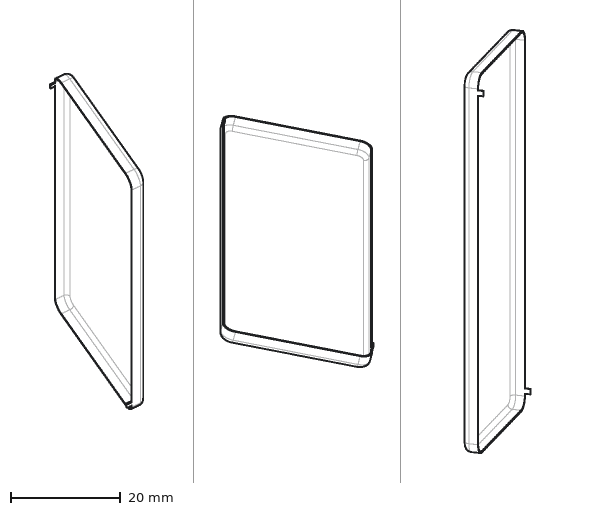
import cadquery as cq

width = 28.1
height = 73.7
total_depth = 3.9
tab_length = 1.0
rim_depth = total_depth - tab_length

wall = 0.3
corner_radius = 2.35
back_edge_radius = 1.1

tab_height = 1.0
tab_end_gap = 2.7
tab_root = 0.4

back_y = total_depth / 2
rim_y = back_y - rim_depth


def rounded_block(inset):
    """Block with rounded corners and back edge, inset from the outer faces."""
    return (
        cq.Workplane("XZ", origin=(0, back_y - inset, 0))
        .rect(width - 2 * inset, height - 2 * inset)
        .extrude(rim_depth - inset)
        .edges("|Y")
        .fillet(corner_radius - inset)
        .faces(">Y")
        .edges()
        .fillet(back_edge_radius - inset)
    )


def rim_tabs():
    """Two diagonally opposite tabs continuing the long side walls beyond the rim."""
    tab_x = (width - wall) / 2
    tab_z = (height - tab_height) / 2 - tab_end_gap
    return (
        cq.Workplane("XZ", origin=(0, rim_y + tab_root, 0))
        .pushPoints([(-tab_x, tab_z), (tab_x, -tab_z)])
        .rect(wall, tab_height)
        .extrude(tab_root + tab_length)
    )


tray = rounded_block(0).cut(rounded_block(wall))
result = tray.union(rim_tabs())